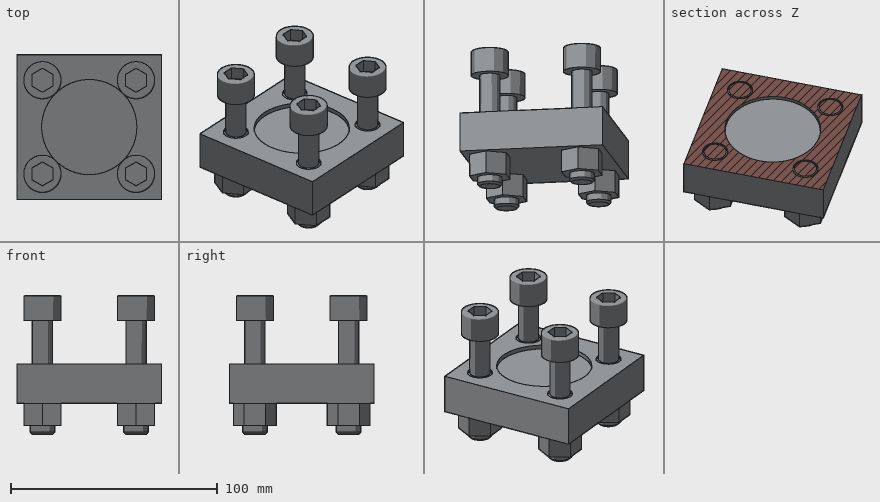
import cadquery as cq
import math

overall_height = 67.0

plate_side = 70.0
plate_thickness = 19.0
recess_diameter = 46.0
recess_depth = 2.0

bolt_circle_diameter = 64.0
thread_diameter = 12.0
shank_diameter = 9.9
shank_length = 21.0
thread_chamfer = (thread_diameter - shank_diameter) / 2

head_diameter = 18.0
head_height = 12.0
head_rounding = 0.55
socket_across_flats = 10.0
socket_depth = 6.0

nut_across_flats = 18.0
nut_height = 10.8

head_bottom = plate_thickness + shank_length
head_top = head_bottom + head_height
thread_bottom = head_top - overall_height

bolt_offset = bolt_circle_diameter / 2 * math.sin(math.pi / 4)
bolt_centers = [(x, y) for x in (-bolt_offset, bolt_offset) for y in (-bolt_offset, bolt_offset)]


def cylinder(diameter, bottom, top):
    """Upright cylinder between two levels."""
    return cq.Workplane("XY").workplane(offset=bottom).circle(diameter / 2).extrude(top - bottom)


def hexagon(across_flats, bottom, top):
    """Upright hexagonal prism with two corners on the Y axis."""
    across_corners = across_flats / math.cos(math.pi / 6)
    return (
        cq.Workplane("XY")
        .workplane(offset=bottom)
        .transformed(rotate=(0, 0, 90))
        .polygon(6, across_corners)
        .extrude(top - bottom)
    )


def make_plate():
    """Square plate with bolt holes and a shallow round recess in its top face."""
    plate = cq.Workplane("XY").box(plate_side, plate_side, plate_thickness, centered=(True, True, False))
    recess = cylinder(recess_diameter, plate_thickness - recess_depth, plate_thickness)
    hole = cylinder(thread_diameter, 0, plate_thickness)
    plate = plate.cut(recess)
    for x, y in bolt_centers:
        plate = plate.cut(hole.translate((x, y, 0)))
    return plate


def make_bolt():
    """Socket head bolt with its nut; the upper thread chamfer ends flush with the plate's top face."""
    thread = cylinder(thread_diameter, thread_bottom, plate_thickness)
    thread = thread.edges("%CIRCLE").chamfer(thread_chamfer)
    shank = cylinder(shank_diameter, thread_bottom, head_bottom)
    head = cylinder(head_diameter, head_bottom, head_top).faces(">Z").edges().fillet(head_rounding)
    socket = hexagon(socket_across_flats, head_top - socket_depth, head_top)
    nut = hexagon(nut_across_flats, -nut_height, 0)
    return thread.union(shank).union(head.cut(socket)).union(nut)


result = make_plate()
bolt = make_bolt()
for x, y in bolt_centers:
    result = result.union(bolt.translate((x, y, 0)))